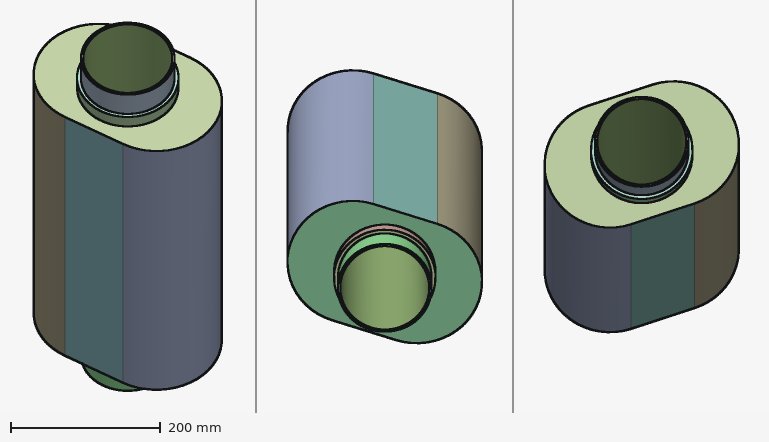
import cadquery as cq

total_height = 620.0
spigot_length = 40.0
collar_length = 20.0
body_height = total_height - 2 * (spigot_length + collar_length)

body_length = 265.0
body_width = 175.0

spigot_diameter = 125.0
collar_diameter = 136.0
bore_diameter = 119.0


def centred_cylinder(diameter, height):
    """Cylinder along Z, centred on the origin."""
    return cq.Workplane("XY").circle(diameter / 2).extrude(height / 2, both=True)


body = cq.Workplane("XY").slot2D(body_length, body_width).extrude(body_height / 2, both=True)

collars = centred_cylinder(collar_diameter, body_height + 2 * collar_length)
spigots = centred_cylinder(spigot_diameter, total_height)

bore = centred_cylinder(bore_diameter, total_height)

result = body.union(collars).union(spigots).cut(bore)